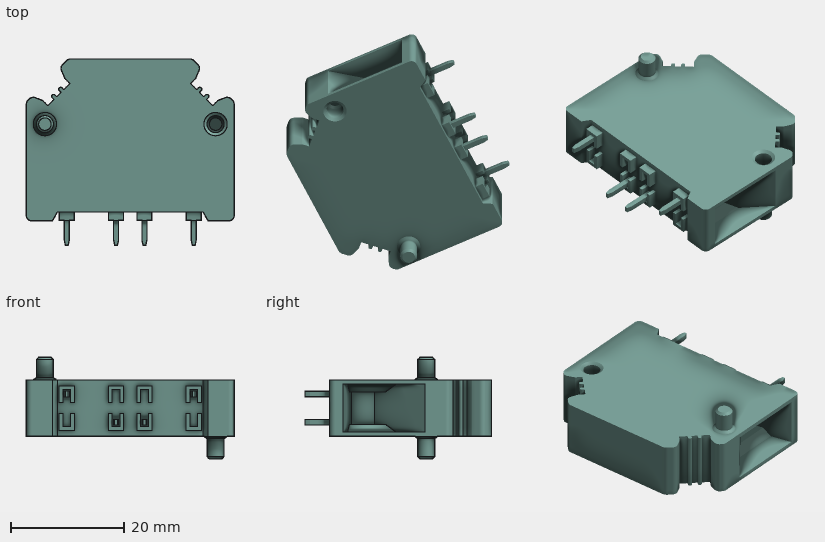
import cadquery as cq
import math


width = 36.8
depth = 28.65
thickness = 10.0
total_height = 18.0
half_width = width / 2
half_thickness = thickness / 2
edge_radius = 1.0
back_edge_radius = 1.3

recess_depth = 1.55
recess_half_width = 12.88
foot_inner_x = 13.75

notch_mid = (12.62, 22.35)
notch_half_length = 2.75
notch_wall_length = 1.3
back_lobe_tip = (12.45, 27.2)
side_lobe_tip = (17.37, 22.05)
lobe_root_radius = 0.2

ridge_offset = 0.9
ridge_width = 0.7
ridge_height = 0.77
ridge_radius = 0.3

peg_x = 15.1
peg_y = 17.1
peg_length = (total_height - thickness) / 2
peg_radius = 1.5
peg_chamfer = 0.4
peg_base_radius = 2.05
peg_base_height = 0.4

pocket_front_y = 2.35
pocket_back_y = 16.9
pocket_half_height = 4.25
pocket_floor_front_y = 3.85
pocket_floor_back_y = 8.0
pocket_floor_half_height = 2.87
pocket_depth = 7.0
pocket_taper_start = 4.0
pocket_taper_end = 5.5

outer_contact_x = 11.22
inner_contact_x = 2.5
contact_z = 2.5
collar_width = 2.7
collar_wall = 0.65
collar_inner_z = 1.0
collar_outer_z = 3.95
collar_length = 1.45
pin_width = 0.92
pin_height = 1.0
pin_tip_width = 0.5
pin_tip_length = 0.95
pin_end_y = -4.35


def along_notch(along, out):
    """Point on the right notch: distance along its floor and distance out from it."""
    diagonal = math.sqrt(0.5)
    return (notch_mid[0] + (along + out) * diagonal, notch_mid[1] + (out - along) * diagonal)


def round_corners(solid, points, radius):
    """Round the Z edges that stand on the given points and on their mirror images in X."""
    for x, y in points:
        for side in (-1, 1):
            corner = cq.selectors.NearestToPointSelector((side * x, y, 0))
            solid = solid.edges("|Z").edges(corner).fillet(radius)
    return solid


def make_body():
    back_root = along_notch(-notch_half_length, notch_wall_length)
    side_root = along_notch(notch_half_length, notch_wall_length)
    back_corner = (back_lobe_tip[0] + back_lobe_tip[1] - depth, depth)
    side_corner = (half_width, side_lobe_tip[0] + side_lobe_tip[1] - half_width)
    right_half = [
        (recess_half_width, recess_depth),
        (foot_inner_x, 0),
        (half_width, 0),
        side_corner,
        side_lobe_tip,
        side_root,
        along_notch(notch_half_length, 0),
        along_notch(-notch_half_length, 0),
        back_root,
        back_lobe_tip,
        back_corner,
    ]
    left_half = [(-x, y) for x, y in reversed(right_half)]
    body = (
        cq.Workplane("XY")
        .polyline(right_half + left_half)
        .close()
        .extrude(half_thickness, both=True)
    )
    rounded = [(half_width, 0), side_corner, side_lobe_tip, back_lobe_tip]
    body = round_corners(body, rounded, edge_radius)
    body = round_corners(body, [back_corner], back_edge_radius)
    return round_corners(body, [side_root, back_root], lobe_root_radius)


def make_ridge(along):
    """Round-topped ridge on the right notch floor, sunk slightly into the body."""
    sunk = 0.2
    center = along_notch(along, (ridge_height - sunk) / 2)
    return (
        cq.Workplane("XY")
        .box(ridge_width, ridge_height + sunk, thickness)
        .edges("|Z and >Y")
        .fillet(ridge_radius)
        .rotate((0, 0, 0), (0, 0, 1), -45)
        .translate((center[0], center[1], 0))
    )


def make_peg():
    """Flared, chamfered peg standing on the top face at the left; also the socket's shape."""
    return (
        cq.Workplane("XZ")
        .moveTo(0, 0)
        .lineTo(peg_base_radius, 0)
        .lineTo(peg_radius, peg_base_height)
        .lineTo(peg_radius, peg_length - peg_chamfer)
        .lineTo(peg_radius - peg_chamfer, peg_length)
        .lineTo(0, peg_length)
        .close()
        .revolve(360, (0, 0, 0), (0, 1, 0))
        .translate((-peg_x, peg_y, half_thickness))
    )


def make_pocket():
    """Cutter for the left side: full height at the mouth, narrowing towards its floor."""
    lengthwise = (
        cq.Workplane("XY")
        .polyline([
            (-half_width, pocket_front_y),
            (-half_width, pocket_back_y),
            (-half_width + pocket_depth, pocket_floor_back_y),
            (-half_width + pocket_depth, pocket_floor_front_y),
        ])
        .close()
        .extrude(pocket_half_height, both=True)
    )
    upper = [
        (-half_width, pocket_half_height),
        (-half_width + pocket_taper_start, pocket_half_height),
        (-half_width + pocket_taper_end, pocket_floor_half_height),
        (-half_width + pocket_depth, pocket_floor_half_height),
    ]
    lower = [(x, -z) for x, z in reversed(upper)]
    crosswise = cq.Workplane("XZ").polyline(upper + lower).close().extrude(-depth)
    return lengthwise.intersect(crosswise)


def make_collar(x):
    """U-shaped collar of the upper row, open towards the middle of the thickness."""
    inner = collar_width / 2 - collar_wall
    outer = collar_width / 2
    right = [
        (inner, collar_outer_z - collar_wall),
        (inner, collar_inner_z),
        (outer, collar_inner_z),
        (outer, collar_outer_z),
    ]
    left = [(-px, pz) for px, pz in reversed(right)]
    return (
        cq.Workplane("XZ", origin=(x, recess_depth, 0))
        .polyline(right + left)
        .close()
        .extrude(collar_length)
    )


def make_pin(x, z):
    """Flat contact pin whose sides taper to a narrow tip."""
    right = [
        (pin_width / 2, recess_depth),
        (pin_width / 2, pin_end_y + pin_tip_length),
        (pin_tip_width / 2, pin_end_y),
    ]
    left = [(-px, py) for px, py in reversed(right)]
    return (
        cq.Workplane("XY", origin=(x, 0, z))
        .polyline(right + left)
        .close()
        .extrude(pin_height / 2, both=True)
    )


def half_turn(solid):
    """Turn about the Y axis, which swaps left with right and top with bottom."""
    return solid.rotate((0, 0, 0), (0, 1, 0), 180)


result = make_body()

for position in (-ridge_offset, ridge_offset):
    ridge = make_ridge(position)
    result = result.union(ridge).union(half_turn(ridge))

pocket = make_pocket()
result = result.cut(pocket).cut(half_turn(pocket))

peg = make_peg()
socket = peg.translate((0, 0, -thickness))
result = result.union(peg).union(half_turn(peg))
result = result.cut(socket).cut(half_turn(socket))

for contact_x in (-outer_contact_x, -inner_contact_x, inner_contact_x, outer_contact_x):
    collar = make_collar(contact_x)
    result = result.union(collar).union(half_turn(collar))

for side in (-1, 1):
    result = result.union(make_pin(side * outer_contact_x, contact_z))
    result = result.union(make_pin(side * inner_contact_x, -contact_z))